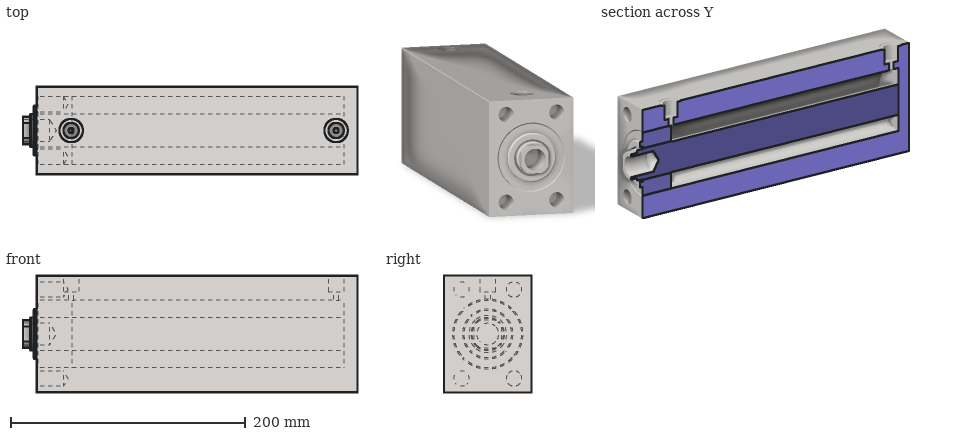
import cadquery as cq
import math

TOTAL_LENGTH = 285.0
ROD_PROTRUSION = 11.7
HOUSING_LENGTH = TOTAL_LENGTH - ROD_PROTRUSION
HOUSING_WIDTH = 75.0
HOUSING_HEIGHT = 100.0
EDGE_CHAMFER = 0.5
FRONT_X = 0.0
TIP_X = FRONT_X - ROD_PROTRUSION

BORE_RADIUS = 28.8
BORE_CHAMFER = 1.0
END_WALL = 11.5
BORE_DEPTH = HOUSING_LENGTH - END_WALL

MOUNT_DIAMETER = 13.0
MOUNT_DEPTH = 22.8
MOUNT_SPACING_Y = 44.7
MOUNT_SPACING_Z = 75.8
DRILL_POINT_ANGLE = 118.0

FRONT_PORT_X = 29.4
REAR_PORT_X = HOUSING_LENGTH - 18.2
PORT_DIAMETER = 13.0
PORT_DEPTH = 14.2
SPOTFACE_DIAMETER = 20.0
SPOTFACE_DEPTH = 0.5
PASSAGE_DIAMETER = 4.3

GLAND_INNER_LENGTH = 30.0
BOSS_RADIUS = 21.5
BOSS_HEIGHT = 2.5
BOSS_CHAMFER_AXIAL = 0.9
BOSS_CHAMFER_RADIAL = 1.0
WIPER_RECESS_RADIUS = 16.0
WIPER_RECESS_DEPTH = 2.8

ROD_RADIUS = 14.2
ROD_CHAMFER = 0.9
TIP_RADIUS = ROD_RADIUS - ROD_CHAMFER
TIP_LENGTH = 6.0
ACROSS_FLATS = 23.7
ROD_HOLE_DIAMETER = 18.5
ROD_HOLE_DEPTH = 22.8


def rod_axis_cylinder(radius, start_x, length):
    """Cylinder along X, centred on the rod axis."""
    return cq.Workplane("YZ", origin=(start_x, 0, 0)).circle(radius).extrude(length)


def drilled_hole(diameter, depth, mouth_x, y, z):
    """Blind hole cutter along +X with a conical drill point."""
    radius = diameter / 2
    point_depth = radius / math.tan(math.radians(DRILL_POINT_ANGLE / 2))
    profile = [(0, 0), (0, radius), (depth, radius), (depth + point_depth, 0)]
    cutter = cq.Workplane("XZ").polyline(profile).close().revolve(360, (0, 0), (1, 0))
    return cutter.translate((mouth_x, y, z))


def oil_port(x):
    """Cutter for a spotfaced port whose narrow passage reaches the bore."""
    top = cq.Workplane("XY", origin=(x, 0, HOUSING_HEIGHT / 2))
    spotface = top.circle(SPOTFACE_DIAMETER / 2).extrude(-SPOTFACE_DEPTH)
    port = top.circle(PORT_DIAMETER / 2).extrude(-PORT_DEPTH)
    passage = top.circle(PASSAGE_DIAMETER / 2).extrude(-HOUSING_HEIGHT / 2)
    return spotface.union(port).union(passage)


def make_housing():
    block = cq.Workplane("XY").box(
        HOUSING_LENGTH, HOUSING_WIDTH, HOUSING_HEIGHT, centered=(False, True, True)
    )
    block = block.edges("|X").chamfer(EDGE_CHAMFER)

    mouth_radius = BORE_RADIUS + BORE_CHAMFER
    bore_profile = [
        (FRONT_X, 0),
        (FRONT_X, mouth_radius),
        (FRONT_X + BORE_CHAMFER, BORE_RADIUS),
        (BORE_DEPTH, BORE_RADIUS),
        (BORE_DEPTH, 0),
    ]
    bore = cq.Workplane("XZ").polyline(bore_profile).close().revolve(360, (0, 0), (1, 0))
    block = block.cut(bore)

    for side_y in (-1, 1):
        for side_z in (-1, 1):
            y = side_y * MOUNT_SPACING_Y / 2
            z = side_z * MOUNT_SPACING_Z / 2
            block = block.cut(drilled_hole(MOUNT_DIAMETER, MOUNT_DEPTH, FRONT_X, y, z))

    for x in (FRONT_PORT_X, REAR_PORT_X):
        block = block.cut(oil_port(x))
    return block


def make_gland():
    boss_x = FRONT_X - BOSS_HEIGHT
    recess_floor_x = boss_x + WIPER_RECESS_DEPTH
    section = [
        (boss_x, WIPER_RECESS_RADIUS),
        (boss_x, BOSS_RADIUS - BOSS_CHAMFER_RADIAL),
        (boss_x + BOSS_CHAMFER_AXIAL, BOSS_RADIUS),
        (FRONT_X, BOSS_RADIUS),
        (FRONT_X, BORE_RADIUS),
        (GLAND_INNER_LENGTH, BORE_RADIUS),
        (GLAND_INNER_LENGTH, ROD_RADIUS),
        (recess_floor_x, ROD_RADIUS),
        (recess_floor_x, WIPER_RECESS_RADIUS),
    ]
    return cq.Workplane("XZ").polyline(section).close().revolve(360, (0, 0), (1, 0))


def make_rod():
    shoulder_x = TIP_X + TIP_LENGTH
    shaft = rod_axis_cylinder(ROD_RADIUS, shoulder_x, BORE_DEPTH - shoulder_x)
    shaft = shaft.faces("<X").chamfer(ROD_CHAMFER)

    flats = cq.Workplane("YZ", origin=(TIP_X, 0, 0)).rect(ACROSS_FLATS, ACROSS_FLATS)
    flats = flats.extrude(TIP_LENGTH)
    tip = rod_axis_cylinder(TIP_RADIUS, TIP_X, TIP_LENGTH).intersect(flats)
    return shaft.union(tip).cut(drilled_hole(ROD_HOLE_DIAMETER, ROD_HOLE_DEPTH, TIP_X, 0, 0))


housing = make_housing()
gland = make_gland()
rod = make_rod()

result = cq.Compound.makeCompound([housing.val(), gland.val(), rod.val()])